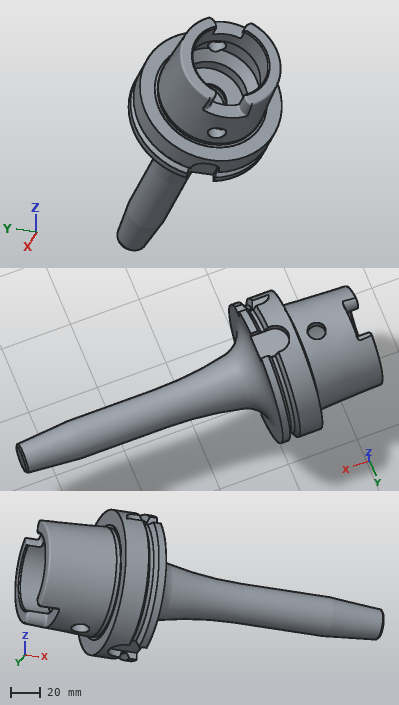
import cadquery as cq
import math

total_length = 250.0

shank_length = 50.0
nose_radius = 35.5
taper_slope = 0.05
nose_round = 1.5

relief_width = 2.5
relief_ramp = 1.2
relief_radius = 37.5
face_groove_radius = 39.5
face_groove_depth = 0.5

bore_radius = 26.5
bore_chamfer = 1.0
clamp_shoulder_x = 20.0
clamp_recess_radius = 31.5
recess_end = 39.5
inner_bore_radius = 24.8
inner_bore_depth = 55.0
center_hole_radius = 11.8
center_hole_depth = 60.0
center_hole_chamfer = 0.8

flange_radius = 50.0
flange_end = 79.0
groove_center = 70.0
groove_floor_width = 2.8
groove_floor_radius = 46.0
groove_side_angle = 30.0

neck_root_radius = 38.0
neck_knee_x = 94.2
neck_knee_radius = 19.5
neck_root_arc = 20.5
neck_long_arc = 250.0
straight_start = 148.5
straight_radius = 13.5
tip_start = 211.8
tip_radius = 10.5
tip_chamfer = 1.2

slot_half_width = 10.0
slot_flare_start = 26.0
slot_flare_radius = 6.5
slot_floor_fillet = 1.5
upper_slot_depth = 10.2
lower_slot_depth = 14.5

cross_hole_x = 34.8
cross_hole_radius = 6.2

pocket_start = 55.2
pocket_half_width = 9.8
pocket_floor_height = 44.0

notch_offset = 31.5
notch_round_center = 62.8
notch_round_radius = 8.0


def revolve_about_x(outline):
    return outline.close().revolve(360, (0, 0, 0), (1, 0, 0))


def turned_body():
    relief_start = shank_length - relief_width
    relief_end = shank_length + face_groove_depth
    taper_end_radius = nose_radius + taper_slope * relief_start
    floor_half = groove_floor_width / 2
    groove_depth = flange_radius - groove_floor_radius
    rim_half = floor_half + groove_depth * math.tan(math.radians(groove_side_angle))
    outline = (
        cq.Workplane("XY")
        .lineTo(0, nose_radius)
        .lineTo(relief_start, taper_end_radius)
        .lineTo(relief_start + relief_ramp, relief_radius)
        .lineTo(relief_end, relief_radius)
        .lineTo(relief_end, face_groove_radius)
        .lineTo(shank_length, face_groove_radius)
        .lineTo(shank_length, flange_radius)
        .lineTo(groove_center - rim_half, flange_radius)
        .lineTo(groove_center - floor_half, groove_floor_radius)
        .lineTo(groove_center + floor_half, groove_floor_radius)
        .lineTo(groove_center + rim_half, flange_radius)
        .lineTo(flange_end, flange_radius)
        .lineTo(flange_end, neck_root_radius)
        .radiusArc((neck_knee_x, neck_knee_radius), -neck_root_arc)
        .radiusArc((straight_start, straight_radius), -neck_long_arc)
        .lineTo(tip_start, straight_radius)
        .lineTo(total_length - tip_chamfer, tip_radius)
        .lineTo(total_length, tip_radius - tip_chamfer)
        .lineTo(total_length, 0)
    )
    return revolve_about_x(outline)


def bore():
    recess_floor_x = recess_end + clamp_recess_radius - inner_bore_radius
    outline = (
        cq.Workplane("XY")
        .lineTo(0, bore_radius + bore_chamfer)
        .lineTo(bore_chamfer, bore_radius)
        .lineTo(clamp_shoulder_x, bore_radius)
        .lineTo(clamp_shoulder_x, clamp_recess_radius)
        .lineTo(recess_end, clamp_recess_radius)
        .lineTo(recess_floor_x, inner_bore_radius)
        .lineTo(inner_bore_depth, inner_bore_radius)
        .lineTo(inner_bore_depth, center_hole_radius + center_hole_chamfer)
        .lineTo(inner_bore_depth + center_hole_chamfer, center_hole_radius)
        .lineTo(center_hole_depth, center_hole_radius)
        .lineTo(center_hole_depth, 0)
    )
    return revolve_about_x(outline)


def driving_slot(depth):
    flare_height = slot_flare_start + slot_flare_radius
    flare_half_width = slot_half_width + slot_flare_radius
    lead_in = slot_floor_fillet
    profile = (
        cq.Workplane("YZ", origin=(-lead_in, 0, 0))
        .moveTo(-slot_half_width, 0)
        .lineTo(-slot_half_width, slot_flare_start)
        .radiusArc((-flare_half_width, flare_height), -slot_flare_radius)
        .lineTo(-flange_radius, flare_height)
        .lineTo(-flange_radius, flange_radius)
        .lineTo(flange_radius, flange_radius)
        .lineTo(flange_radius, flare_height)
        .lineTo(flare_half_width, flare_height)
        .radiusArc((slot_half_width, slot_flare_start), -slot_flare_radius)
        .lineTo(slot_half_width, 0)
        .close()
    )
    return profile.extrude(lead_in + depth).faces(">X").edges().fillet(slot_floor_fillet)


def cross_hole():
    start = (cross_hole_x, 0, -flange_radius)
    return cq.Workplane("XY", origin=start).circle(cross_hole_radius).extrude(2 * flange_radius)


def gripper_pocket():
    round_center = pocket_start + pocket_half_width
    outline = (
        cq.Workplane("XY", origin=(0, 0, pocket_floor_height))
        .moveTo(flange_end, pocket_half_width)
        .lineTo(round_center, pocket_half_width)
        .threePointArc((pocket_start, 0), (round_center, -pocket_half_width))
        .lineTo(flange_end, -pocket_half_width)
        .close()
    )
    return outline.extrude(flange_radius - pocket_floor_height)


def orientation_notch():
    notch_start = notch_round_center - notch_round_radius
    outline = (
        cq.Workplane("XY", origin=(0, 0, notch_offset))
        .moveTo(flange_end, -notch_offset)
        .lineTo(notch_round_center, -notch_offset)
        .radiusArc((notch_start, -notch_offset - notch_round_radius), -notch_round_radius)
        .lineTo(notch_start, -flange_radius)
        .lineTo(flange_end, -flange_radius)
        .close()
    )
    return outline.extrude(flange_radius - notch_offset)


top_pocket = gripper_pocket()

slotted_body = (
    turned_body()
    .cut(driving_slot(upper_slot_depth))
    .cut(driving_slot(lower_slot_depth).mirror("XY"))
)
rounded_body = slotted_body.faces("<X").edges().fillet(nose_round)

result = (
    rounded_body
    .cut(bore())
    .cut(cross_hole())
    .cut(top_pocket)
    .cut(top_pocket.mirror("XY"))
    .cut(orientation_notch())
)